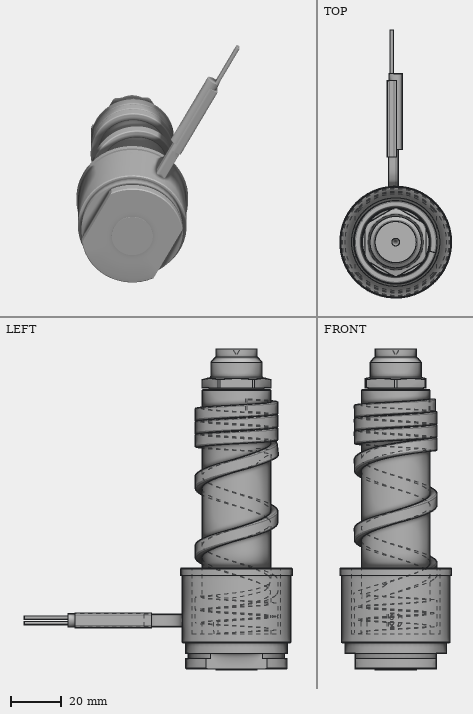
import cadquery as cq
import math

TOTAL_HEIGHT = 126.3
FOOT_TOP = 0.3
BASE_RING_TOP = 4.5
BASE_GROOVE_TOP = 6.5
COLLAR_TOP = 10.6
FLANGE_BOTTOM = 37.2
SLEEVE_TOP = 40.2
TUBE_TOP = 110.4
NUT_BOTTOM = 110.9
NUT_EDGE_TOP = 114.15
NUT_TOP = 114.9
CAP_SHOULDER = 121.0
CAP_CONE_TOP = 122.75
TIP_BOTTOM = 123.1

END_RADIUS = 8.1
BASE_RADIUS = 20.0
BASE_GROOVE_RADIUS = 19.0
SLEEVE_RADIUS = 21.4
FLANGE_RADIUS = 22.0
BORE_RADIUS = 17.4
TUBE_RADIUS = 13.5
NECK_RADIUS = 10.9
CAP_RADIUS = 10.1
CAP_CONE_TOP_RADIUS = 8.6
EDGE_CHAMFER = 0.4
CAP_ROOT_FILLET = 0.6

BASE_ACROSS_FLATS = 32.0

NUT_ACROSS_FLATS = 24.0
NUT_CORNER_RADIUS = 13.6
NUT_TOP_RADIUS = 10.8

CENTRE_HOLE_RADIUS = 1.5
CENTRE_HOLE_HALF_ANGLE = 30.0
CENTRE_HOLE_DEPTH = CENTRE_HOLE_RADIUS / math.tan(math.radians(CENTRE_HOLE_HALF_ANGLE))

SPRING_OUTER_RADIUS = 16.3
SPRING_BITE = 0.1
SPRING_INNER_RADIUS = TUBE_RADIUS - SPRING_BITE
WIRE_HEIGHT = 5.0
WIRE_FILLET = 0.5
SPRING_START_Z = 104.1
SPRING_START_ANGLE = -15.0
CLOSED_PITCH = 5.15
OPEN_PITCH = 27.2
UPPER_CLOSED_TURNS = 3.05
OPEN_TURNS = 2.5
LOWER_CLOSED_TURNS = 2.0
RAMP_TURNS = 0.3
PATH_POINTS_PER_TURN = 12

CABLE_Z = 19.5
CABLE_START_Y = 19.0
CABLE_LEFT, CABLE_RIGHT = -2.9, 1.05
CABLE_HEIGHT = 5.0
CABLE_LEFT_FILLET = 0.35
CABLE_RIGHT_FILLET = 1.0
JACKET_START_Y, JACKET_END_Y = 33.4, 63.5
JACKET_LEFT, JACKET_RIGHT = -3.4, 0.65
JACKET_HEIGHT = 5.9
JACKET_LEFT_FILLET = 0.9
JACKET_RIGHT_FILLET = 1.25
SPLICE_START_Y, SPLICE_END_Y = 36.4, 66.3
SPLICE_RADIUS = 2.65
WIRE_END_Y = 83.5
LEAD_RADIUS = 0.7
LEAD_X = -1.55
LEAD_SPACING = 2.1


def cylinder(radius, bottom, top):
    return cq.Workplane("XY").workplane(offset=bottom).circle(radius).extrude(top - bottom)


def spring_drop(turns):
    """Height lost after the given number of turns from the upper end of the spring."""
    open_start = UPPER_CLOSED_TURNS
    open_end = open_start + OPEN_TURNS

    def extra_turns(ramp_start):
        """Turns counted at the full extra pitch after a linear pitch ramp."""
        past = turns - ramp_start
        if past <= 0:
            return 0.0
        if past < RAMP_TURNS:
            return past**2 / (2 * RAMP_TURNS)
        return past - RAMP_TURNS / 2

    extra = extra_turns(open_start) - extra_turns(open_end - RAMP_TURNS)
    return CLOSED_PITCH * turns + (OPEN_PITCH - CLOSED_PITCH) * extra


SPRING_TURNS = UPPER_CLOSED_TURNS + OPEN_TURNS + LOWER_CLOSED_TURNS
BORE_FLOOR = SPRING_START_Z - spring_drop(SPRING_TURNS) - WIRE_HEIGHT / 2


def make_base():
    """Grooved base ring with two wrench flats and a small foot disc."""
    ring = cylinder(BASE_RADIUS, FOOT_TOP, BASE_RING_TOP).faces("<Z").chamfer(EDGE_CHAMFER)
    ring = ring.union(cylinder(BASE_GROOVE_RADIUS, BASE_RING_TOP, BASE_GROOVE_TOP))
    flats = cq.Workplane("XY").box(
        BASE_ACROSS_FLATS, 2 * BASE_RADIUS, BASE_GROOVE_TOP, centered=(True, True, False)
    )
    foot = cylinder(END_RADIUS, 0, FOOT_TOP)
    return ring.intersect(flats).union(foot)


def make_sleeve():
    """Flanged sleeve with an open bore that holds the lower end of the spring."""
    body = cylinder(SLEEVE_RADIUS, COLLAR_TOP, FLANGE_BOTTOM).faces("<Z").chamfer(EDGE_CHAMFER)
    flange = cylinder(FLANGE_RADIUS, FLANGE_BOTTOM, SLEEVE_TOP).faces(">Z").chamfer(EDGE_CHAMFER)
    collar = cylinder(BASE_RADIUS, BASE_GROOVE_TOP, COLLAR_TOP)
    bore = cylinder(BORE_RADIUS, BORE_FLOOR, SLEEVE_TOP)
    return collar.union(body).union(flange).cut(bore)


def make_tube():
    tube = cylinder(TUBE_RADIUS, COLLAR_TOP, TUBE_TOP).faces(">Z").chamfer(EDGE_CHAMFER)
    neck = cylinder(NECK_RADIUS, TUBE_TOP, NUT_BOTTOM)
    return tube.union(neck)


def make_nut():
    """Hexagon with corners on +Y and -Y, trimmed round and coned on top."""
    corner_diameter = NUT_ACROSS_FLATS / math.cos(math.pi / 6)
    hexagon = (
        cq.Workplane("XY").workplane(offset=NUT_BOTTOM)
        .transformed(rotate=(0, 0, 90))
        .polygon(6, corner_diameter)
        .extrude(NUT_TOP - NUT_BOTTOM)
    )
    envelope = (
        cq.Workplane("XZ")
        .moveTo(0, NUT_BOTTOM)
        .lineTo(NUT_CORNER_RADIUS, NUT_BOTTOM)
        .lineTo(NUT_CORNER_RADIUS, NUT_EDGE_TOP)
        .lineTo(NUT_TOP_RADIUS, NUT_TOP)
        .lineTo(0, NUT_TOP)
        .close()
        .revolve(360, (0, 0), (0, 1))
    )
    return hexagon.intersect(envelope)


def make_cap():
    """Turned end above the nut: filleted root, cone shoulder, tip and centre hole."""
    root = CAP_RADIUS + CAP_ROOT_FILLET
    sag = CAP_ROOT_FILLET * (1 - math.sqrt(0.5))
    profile = (
        cq.Workplane("XZ")
        .moveTo(0, NUT_TOP)
        .lineTo(root, NUT_TOP)
        .threePointArc((CAP_RADIUS + sag, NUT_TOP + sag), (CAP_RADIUS, NUT_TOP + CAP_ROOT_FILLET))
        .lineTo(CAP_RADIUS, CAP_SHOULDER)
        .lineTo(CAP_CONE_TOP_RADIUS, CAP_CONE_TOP)
        .lineTo(END_RADIUS, TIP_BOTTOM)
        .lineTo(END_RADIUS, TOTAL_HEIGHT)
        .lineTo(CENTRE_HOLE_RADIUS, TOTAL_HEIGHT)
        .lineTo(0, TOTAL_HEIGHT - CENTRE_HOLE_DEPTH)
        .close()
    )
    return profile.revolve(360, (0, 0), (0, 1))


def make_spring():
    """Flat wire swept down a helix whose pitch ramps between closed and open coils."""
    wire_width = SPRING_OUTER_RADIUS - SPRING_INNER_RADIUS
    path_radius = (SPRING_OUTER_RADIUS + SPRING_INNER_RADIUS) / 2
    steps = math.ceil(SPRING_TURNS * PATH_POINTS_PER_TURN)
    points = []
    for i in range(steps + 1):
        turns = SPRING_TURNS * i / steps
        angle = -2 * math.pi * turns
        x = path_radius * math.cos(angle)
        y = path_radius * math.sin(angle)
        points.append((x, y, -spring_drop(turns)))
    path = cq.Workplane("XY").spline(points)
    section = (
        cq.Sketch()
        .rect(wire_width, WIRE_HEIGHT)
        .vertices()
        .fillet(WIRE_FILLET)
    )
    spring = (
        cq.Workplane("XZ")
        .center(path_radius, 0)
        .placeSketch(section)
        .sweep(path, isFrenet=True)
    )
    return spring.rotate((0, 0, 0), (0, 0, 1), SPRING_START_ANGLE).translate((0, 0, SPRING_START_Z))


def cable_bar(left, right, height, left_fillet, right_fillet, start, end):
    """Bar along Y with separately rounded left and right edges."""
    bar = cq.Workplane("XY").box(right - left, end - start, height)
    bar = bar.edges("|Y and <X").fillet(left_fillet)
    bar = bar.edges("|Y and >X").fillet(right_fillet)
    return bar.translate(((left + right) / 2, (start + end) / 2, CABLE_Z))


def make_cable():
    cable = cable_bar(
        CABLE_LEFT, CABLE_RIGHT, CABLE_HEIGHT,
        CABLE_LEFT_FILLET, CABLE_RIGHT_FILLET, CABLE_START_Y, JACKET_END_Y,
    )
    jacket = cable_bar(
        JACKET_LEFT, JACKET_RIGHT, JACKET_HEIGHT,
        JACKET_LEFT_FILLET, JACKET_RIGHT_FILLET, JACKET_START_Y, JACKET_END_Y,
    )
    splice = (
        cq.Workplane("XZ", origin=(0, SPLICE_END_Y, CABLE_Z))
        .circle(SPLICE_RADIUS)
        .extrude(SPLICE_END_Y - SPLICE_START_Y)
    )
    leads = (
        cq.Workplane("XZ", origin=(LEAD_X, WIRE_END_Y, CABLE_Z))
        .pushPoints([(0, LEAD_SPACING / 2), (0, -LEAD_SPACING / 2)])
        .circle(LEAD_RADIUS)
        .extrude(WIRE_END_Y - JACKET_END_Y)
    )
    return cable.union(jacket).union(splice).union(leads)


result = (
    make_sleeve()
    .union(make_base())
    .union(make_tube())
    .union(make_nut())
    .union(make_cap())
    .union(make_cable())
    .union(make_spring())
)